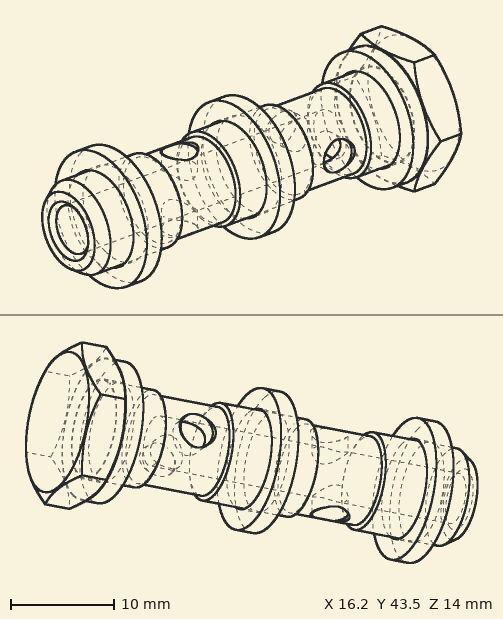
import cadquery as cq
import math

bolt_length = 43.5

across_flats = 14.0
across_corners = across_flats / math.cos(math.radians(30))
head_thickness = 3.95
head_face_radius = 6.9
head_chamfer_angle = 30.0

shank_radius = 4.85
tip_radius = 4.0
tip_chamfer_length = 1.3

groove_radius = 4.4
groove_width = 7.3
groove_shoulder = 0.2
upper_groove_centre = 13.0
lower_groove_centre = 29.5

bore_radius = 2.5
bore_mouth_radius = 3.0
bore_depth = bolt_length - upper_groove_centre + bore_radius
drill_half_angle = 70.0

cross_hole_radius = 1.75
cross_hole_chamfer = 0.2

washer_radius = across_flats / 2
washer_bore_radius = 4.95
washer_thickness = 1.85
washer_stations = [head_thickness, 20.75, 37.55]

end_y = bolt_length / 2


def revolve_profile(points):
    """Revolve (radius, station) points around the bolt axis."""
    profile = [(radius, end_y - station) for radius, station in points]
    return cq.Workplane("XY").polyline(profile).close().revolve(360, (0, 0, 0), (0, 1, 0))


def make_head():
    hexagon = (
        cq.Workplane("XZ", origin=(0, end_y, 0))
        .polygon(6, across_corners)
        .extrude(head_thickness)
    )
    corner_radius = across_corners / 2
    chamfer_length = (corner_radius - head_face_radius) * math.tan(math.radians(head_chamfer_angle))
    chamfer_envelope = revolve_profile([
        (0, 0),
        (head_face_radius, 0),
        (corner_radius, chamfer_length),
        (corner_radius, head_thickness - chamfer_length),
        (head_face_radius, head_thickness),
        (0, head_thickness),
    ])
    return hexagon.intersect(chamfer_envelope)


def groove_points(centre):
    start = centre - groove_width / 2
    end = centre + groove_width / 2
    return [
        (shank_radius, start),
        (groove_radius, start + groove_shoulder),
        (groove_radius, end - groove_shoulder),
        (shank_radius, end),
    ]


def make_shank():
    return revolve_profile([
        (0, head_thickness),
        (shank_radius, head_thickness),
        *groove_points(upper_groove_centre),
        *groove_points(lower_groove_centre),
        (shank_radius, bolt_length - tip_chamfer_length),
        (tip_radius, bolt_length),
        (0, bolt_length),
    ])


def make_bore():
    bore_end = bolt_length - bore_depth
    cone_length = bore_radius / math.tan(math.radians(drill_half_angle))
    mouth_chamfer = bore_mouth_radius - bore_radius
    return revolve_profile([
        (0, bore_end - cone_length),
        (bore_radius, bore_end),
        (bore_radius, bolt_length - mouth_chamfer),
        (bore_mouth_radius, bolt_length),
        (0, bolt_length),
    ])


def make_cross_hole(station):
    """Cutter along Z for a hole countersunk at both groove surfaces."""
    outer_radius = cross_hole_radius + cross_hole_chamfer + shank_radius - groove_radius
    countersink_start = groove_radius - cross_hole_chamfer
    half_profile = [
        (0, -shank_radius),
        (outer_radius, -shank_radius),
        (cross_hole_radius, -countersink_start),
        (cross_hole_radius, countersink_start),
        (outer_radius, shank_radius),
        (0, shank_radius),
    ]
    cutter = cq.Workplane("XZ").polyline(half_profile).close().revolve(360, (0, 0, 0), (0, 1, 0))
    return cutter.translate((0, end_y - station, 0))


def make_bolt():
    upper_hole = make_cross_hole(upper_groove_centre).rotate((0, 0, 0), (0, 1, 0), 90)
    lower_hole = make_cross_hole(lower_groove_centre)
    return make_head().union(make_shank()).cut(make_bore()).cut(upper_hole).cut(lower_hole)


def make_washer(station):
    return (
        cq.Workplane("XZ", origin=(0, end_y - station, 0))
        .circle(washer_radius)
        .circle(washer_bore_radius)
        .extrude(washer_thickness)
    )


bolt = make_bolt()
washers = [make_washer(station) for station in washer_stations]

result = cq.Compound.makeCompound([bolt.val(), *[washer.val() for washer in washers]])